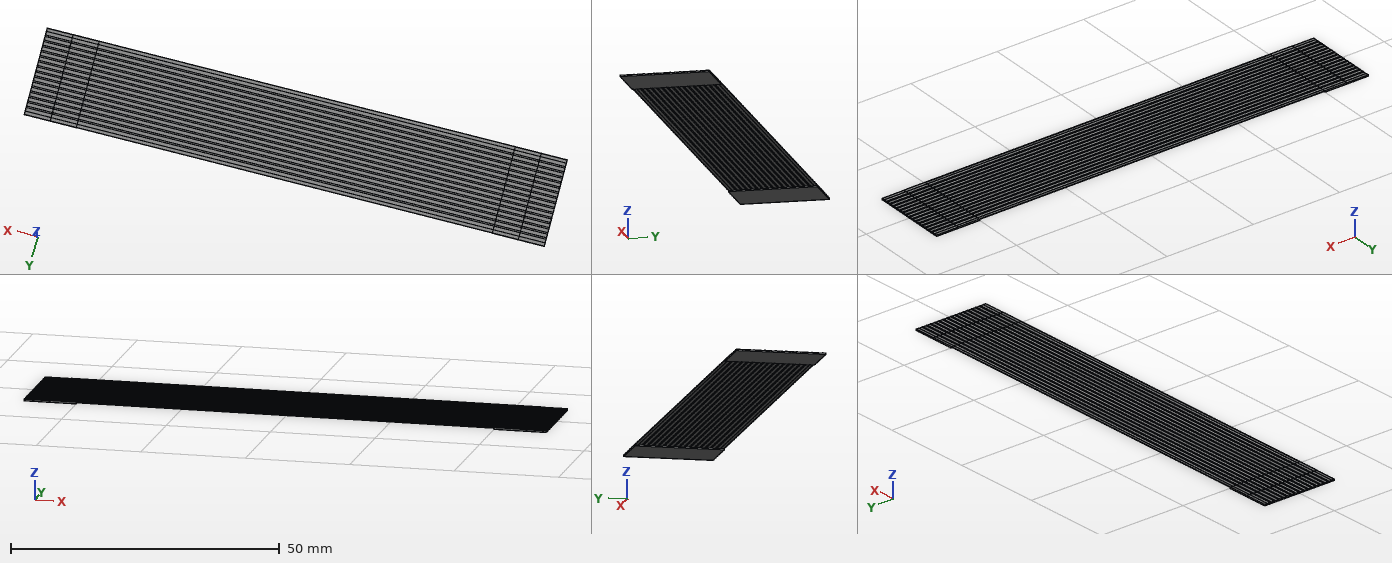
import cadquery as cq

length = 100.0
width = 17.0
thickness = 0.36

film_thickness = 0.043
core_thickness = 0.05
stiffener_thickness = thickness - 2 * film_thickness - core_thickness

channel_count = 16
channel_pitch = 1.0
channel_width = 0.7

exposed_length = 5.0
stiffener_length = 10.0

base_bottom = stiffener_thickness
core_bottom = base_bottom + film_thickness
cover_bottom = core_bottom + core_thickness


def slab(size_x, size_y, size_z, center_x, center_y, bottom):
    """Flat rectangular layer centred on a point in X and Y, standing on the given height."""
    layer = cq.Workplane("XY").box(size_x, size_y, size_z, centered=(True, True, False))
    return layer.translate((center_x, center_y, bottom))


def base_film():
    return slab(length, width, film_thickness, 0, 0, base_bottom)


def channelled_core():
    """Middle layer, divided across Y by evenly spaced channels running its full length."""
    core = slab(length, width, core_thickness, 0, 0, core_bottom)
    for index in range(channel_count):
        center_y = (index - (channel_count - 1) / 2) * channel_pitch
        core = core.cut(slab(length, channel_width, core_thickness, 0, center_y, core_bottom))
    return core


def cover_film():
    """Top film, cut short at both ends to leave the channels open from above."""
    return slab(length - 2 * exposed_length, width, film_thickness, 0, 0, cover_bottom)


def stiffener(side):
    """Backing strip under one end; side is -1 or +1 along X."""
    center_x = side * (length - stiffener_length) / 2
    return slab(stiffener_length, width, stiffener_thickness, center_x, 0, 0)


cable = base_film().union(channelled_core()).union(cover_film())
for side in (-1, 1):
    cable = cable.union(stiffener(side))

result = cable